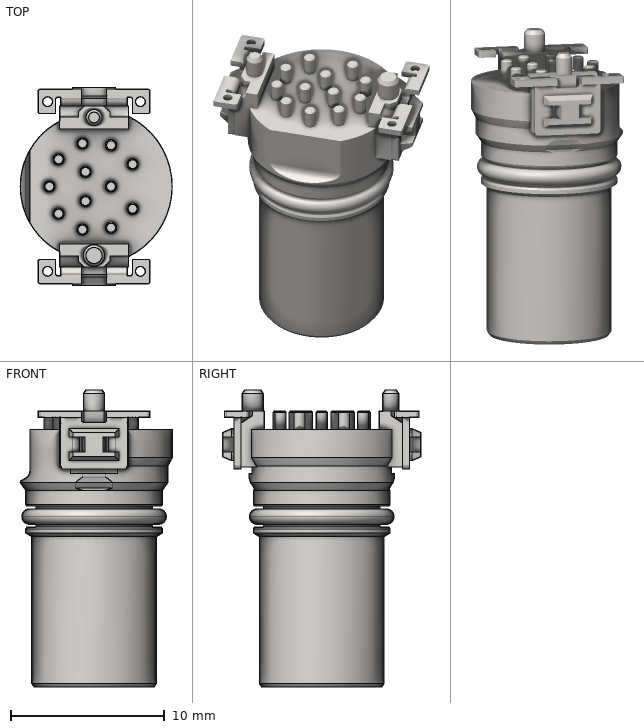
import cadquery as cq
import math

BARREL_R = 4.06
BARREL_CHAMFER_R = 0.17
BARREL_CHAMFER_H = 0.25
LIP_R = 4.45
LIP_BOTTOM = 9.8
LIP_TAPER_H = 0.25
LIP_TOP = 10.41
LIP_BEVEL_R = 0.05
LIP_BEVEL_H = 0.12
GROOVE_R = 3.8
COLLAR_BOTTOM = 11.78
CONE_BOTTOM = 12.81
CONE_TOP = 13.31
HEAD_R = 4.8
HEAD_TOP = 16.78

RING_TUBE_R = 0.5
RING_OUTER_R = 4.7
RING_Z = (LIP_TOP + COLLAR_BOTTOM) / 2

LOBE_R = 5.09
LOBE_BOTTOM = 14.94
LOBE_TAPER_H = 0.56

FLAT_X = 4.18
FLAT_BOTTOM = 14.07
RUNOUT_R = 0.55
RUNOUT_ANGLE = 60.5

RELIEF_Y = 4.55
RELIEF_BOTTOM = 13.9
SLOPE_TOP_Y = 4.75
SLOPE_TOP = 13.66
SLOPE_KNEE_Y = 4.65
SLOPE_BOTTOM_Y = 4.4
SLOPE_BOTTOM = 12.96

DECK_TOP = 17.95
PIN_R = 0.37
PIN_CHAMFER = 0.08
PIN_ROOT = 0.2
INNER_PIN_CIRCLE_R = 1.1
INNER_PIN_ANGLES = (0, 120, 240)
OUTER_PIN_CIRCLE_R = 2.9
OUTER_PIN_STEP = 37.5
OUTER_PIN_COUNT = 9

BLOCK_HALF_W = 2.25
BLOCK_INNER_Y = 3.73
BLOCK_OUTER_Y = 5.25
BLOCK_BOTTOM = 14.32
SHOULDER_Y = 4.5
SHOULDER_TOP = 17.67
SHOULDER_END = 17.2
SHOULDER_FILLET = 0.15
PAD_HALF_W = 1.03
PAD_CHAMFER = 0.39

POST_Y = 4.49
POST_TOP = 19.35
POST_CHAMFER_H = 0.25
POST_CHAMFER_R = 0.17
FRONT_POST_R = 0.7
REAR_POST_R = 0.52

SHEET = 0.4
WALL_HALF_W = 2.17
WALL_OUTER_Y = 5.7
WALL_BOTTOM = 14.18
WALL_CORNER = 0.21
BEND_R = 0.45
WING_HALF_W = 3.64
WING_OUTER_Y = 6.33
EAR_HALF_W = 2.5
EAR_INNER_Y = 4.75
EAR_CORNER = 0.14
SLOT_END_Y = 5.8
GAP_HALF_W = 0.81
GAP_BOTTOM = 17.22
GAP_CORNER = 0.17
HOLE_R = 0.3
HOLE_X = 3.02
HOLE_Y = 5.51

LATCH_HALF_W = 1.63
LATCH_BOTTOM = 14.75
LATCH_TOP = 16.82
LATCH_BASE_Y = 5.88
LATCH_SPAN_Y = 12.9
LATCH_FACE_Y = LATCH_SPAN_Y / 2
LATCH_TAPER = 0.25
NOTCH_BOTTOM = 15.3
NOTCH_TOP = 16.27
WEB_FACE_HALF_W = 0.58
WEB_ROOT_HALF_W = 0.77
ROLL_INNER_X = 0.93
ROLL_R = 0.46


def box(x0, x1, y0, y1, z0, z1):
    return cq.Workplane("XY").box(x1 - x0, y1 - y0, z1 - z0, centered=False).translate((x0, y0, z0))


def prism_along_x(points, half_width):
    """Extrude a (y, z) outline symmetrically about X = 0."""
    return cq.Workplane("YZ").polyline(points).close().extrude(half_width, both=True)


def pin(radius, bottom, top, chamfer_r, chamfer_h):
    """Upright round pin with a chamfered tip, standing on the Z axis."""
    outline = [
        (0, bottom),
        (radius, bottom),
        (radius, top - chamfer_h),
        (radius - chamfer_r, top),
        (0, top),
    ]
    return revolve(outline)


def revolve(outline):
    """Turn an (r, z) outline about the Z axis."""
    return cq.Workplane("XZ").polyline(outline).close().revolve(360, (0, 0), (0, 1))


def make_barrel():
    outline = [
        (0, 0),
        (BARREL_R - BARREL_CHAMFER_R, 0),
        (BARREL_R, BARREL_CHAMFER_H),
        (BARREL_R, LIP_BOTTOM),
        (LIP_R, LIP_BOTTOM + LIP_TAPER_H),
        (LIP_R, LIP_TOP - LIP_BEVEL_H),
        (LIP_R - LIP_BEVEL_R, LIP_TOP),
        (GROOVE_R, LIP_TOP),
        (GROOVE_R, COLLAR_BOTTOM),
        (LIP_R - LIP_BEVEL_R, COLLAR_BOTTOM),
        (LIP_R, COLLAR_BOTTOM + LIP_BEVEL_H),
        (LIP_R, CONE_BOTTOM),
        (HEAD_R, CONE_TOP),
        (HEAD_R, HEAD_TOP),
        (0, HEAD_TOP),
    ]
    return revolve(outline)


def make_ring():
    center_r = RING_OUTER_R - RING_TUBE_R
    profile = cq.Workplane("XZ").center(center_r, RING_Z).circle(RING_TUBE_R)
    return profile.revolve(360, (-center_r, 0), (-center_r, 1))


def make_lobe():
    outline = [
        (0, LOBE_BOTTOM - LOBE_TAPER_H),
        (HEAD_R, LOBE_BOTTOM - LOBE_TAPER_H),
        (LOBE_R, LOBE_BOTTOM),
        (LOBE_R, HEAD_TOP),
        (0, HEAD_TOP),
    ]
    return revolve(outline).intersect(box(0, LOBE_R, -LOBE_R, LOBE_R, 0, HEAD_TOP))


def make_flat_cutter():
    """Flat side wall that curves outward and runs out along a slope at its foot."""
    def on_curve(angle):
        turn = math.radians(angle)
        x = -FLAT_X - RUNOUT_R * (1 - math.cos(turn))
        z = FLAT_BOTTOM - RUNOUT_R * math.sin(turn)
        return x, z

    curve_end = on_curve(RUNOUT_ANGLE)
    outside_x = -LOBE_R
    slope = 1 / math.tan(math.radians(RUNOUT_ANGLE))
    outside_z = curve_end[1] - (curve_end[0] - outside_x) * slope
    outline = (
        cq.Workplane("XZ")
        .moveTo(-FLAT_X, HEAD_TOP)
        .lineTo(-FLAT_X, FLAT_BOTTOM)
        .threePointArc(on_curve(RUNOUT_ANGLE / 2), curve_end)
        .lineTo(outside_x, outside_z)
        .lineTo(outside_x, HEAD_TOP)
        .close()
    )
    return outline.extrude(HEAD_R, both=True)


def make_relief_cutter():
    outline = [
        (-RELIEF_Y, BLOCK_BOTTOM),
        (-RELIEF_Y, RELIEF_BOTTOM),
        (-SLOPE_TOP_Y, RELIEF_BOTTOM),
        (-SLOPE_TOP_Y, SLOPE_TOP),
        (-SLOPE_KNEE_Y, CONE_TOP),
        (-SLOPE_BOTTOM_Y, SLOPE_BOTTOM),
        (-SLOPE_BOTTOM_Y, CONE_BOTTOM),
        (-LOBE_R, CONE_BOTTOM),
        (-LOBE_R, BLOCK_BOTTOM),
    ]
    return prism_along_x(outline, BLOCK_HALF_W)


def make_contacts():
    one_pin = pin(PIN_R, HEAD_TOP - PIN_ROOT, DECK_TOP, PIN_CHAMFER, PIN_CHAMFER)
    places = [(INNER_PIN_CIRCLE_R, angle) for angle in INNER_PIN_ANGLES]
    first = -(OUTER_PIN_COUNT // 2)
    for index in range(first, first + OUTER_PIN_COUNT):
        places.append((OUTER_PIN_CIRCLE_R, 180 + index * OUTER_PIN_STEP))
    contacts = cq.Workplane("XY")
    for circle_r, angle in places:
        turn = math.radians(angle)
        spot = (circle_r * math.cos(turn), circle_r * math.sin(turn), 0)
        contacts = contacts.add(one_pin.translate(spot))
    return contacts.combine()


def make_block():
    outline = [
        (-BLOCK_INNER_Y, BLOCK_BOTTOM),
        (-BLOCK_INNER_Y, DECK_TOP),
        (-SHOULDER_Y, DECK_TOP),
        (-SHOULDER_Y, SHOULDER_TOP),
        (-BLOCK_OUTER_Y, SHOULDER_END),
        (-BLOCK_OUTER_Y, BLOCK_BOTTOM),
    ]
    step_foot = cq.selectors.NearestToPointSelector((0, -SHOULDER_Y, SHOULDER_TOP))
    block = prism_along_x(outline, BLOCK_HALF_W).edges(step_foot).fillet(SHOULDER_FILLET)
    pad_end = PAD_HALF_W - PAD_CHAMFER
    chamfer_start = BLOCK_OUTER_Y - PAD_CHAMFER
    pad_outline = [
        (-PAD_HALF_W, -BLOCK_INNER_Y),
        (-PAD_HALF_W, -chamfer_start),
        (-pad_end, -BLOCK_OUTER_Y),
        (pad_end, -BLOCK_OUTER_Y),
        (PAD_HALF_W, -chamfer_start),
        (PAD_HALF_W, -BLOCK_INNER_Y),
    ]
    pad = (
        cq.Workplane("XY", origin=(0, 0, BLOCK_BOTTOM))
        .polyline(pad_outline)
        .close()
        .extrude(DECK_TOP - BLOCK_BOTTOM)
    )
    return block.union(pad)


def make_clip():
    wall = box(-WALL_HALF_W, WALL_HALF_W, -WALL_OUTER_Y, -BLOCK_OUTER_Y, WALL_BOTTOM, DECK_TOP)
    wall = wall.edges("|Y and <Z").fillet(WALL_CORNER)

    wings = box(-WING_HALF_W, WING_HALF_W, -WING_OUTER_Y, -EAR_INNER_Y, DECK_TOP - SHEET, DECK_TOP)
    bay = box(-EAR_HALF_W, EAR_HALF_W, -SLOT_END_Y, 0, 0, DECK_TOP)
    wings = wings.cut(bay.edges("|Z and <Y").fillet(EAR_CORNER))
    wings = wings.edges("|Z").edges("<X or >X").fillet(EAR_CORNER)

    bridge = box(-WALL_HALF_W, WALL_HALF_W, -WING_OUTER_Y, -BLOCK_OUTER_Y, DECK_TOP - SHEET, DECK_TOP)

    clip = wall.union(bridge).union(wings).clean()
    bend_edge = cq.selectors.NearestToPointSelector((0, -BLOCK_OUTER_Y, DECK_TOP))
    clip = clip.edges(bend_edge).fillet(BEND_R)

    gap = box(-GAP_HALF_W, GAP_HALF_W, -WING_OUTER_Y, -BLOCK_OUTER_Y, GAP_BOTTOM, DECK_TOP)
    clip = clip.cut(gap.edges("|Y and <Z").fillet(GAP_CORNER))

    holes = (
        cq.Workplane("XY", origin=(0, 0, DECK_TOP - SHEET))
        .pushPoints([(-HOLE_X, -HOLE_Y), (HOLE_X, -HOLE_Y)])
        .circle(HOLE_R)
        .extrude(SHEET)
    )
    return clip.cut(holes)


def make_latch():
    height = LATCH_TOP - LATCH_BOTTOM
    middle_z = (LATCH_TOP + LATCH_BOTTOM) / 2
    base = box(-LATCH_HALF_W, LATCH_HALF_W, -LATCH_BASE_Y, -WALL_OUTER_Y, LATCH_BOTTOM, LATCH_TOP)
    nose = (
        cq.Workplane("XZ", origin=(0, -LATCH_BASE_Y, middle_z))
        .rect(2 * LATCH_HALF_W, height)
        .workplane(offset=LATCH_FACE_Y - LATCH_BASE_Y)
        .rect(2 * (LATCH_HALF_W - LATCH_TAPER), height - 2 * LATCH_TAPER)
        .loft(ruled=True)
    )
    return base.union(nose)


def make_notch_cutter(side):
    """Side notch of the latch; its floor is the rolled edge of the clip wall."""
    roll_middle = ROLL_R * math.sin(math.radians(45))
    roll_outer_x = ROLL_INNER_X + ROLL_R
    root_y = WALL_OUTER_Y - ROLL_R
    return (
        cq.Workplane("XY", origin=(0, 0, NOTCH_BOTTOM))
        .moveTo(side * WEB_FACE_HALF_W, -LATCH_FACE_Y)
        .lineTo(side * WEB_ROOT_HALF_W, -root_y)
        .lineTo(side * ROLL_INNER_X, -root_y)
        .threePointArc(
            (side * (roll_outer_x - roll_middle), -root_y - roll_middle),
            (side * roll_outer_x, -WALL_OUTER_Y),
        )
        .lineTo(side * LATCH_HALF_W, -WALL_OUTER_Y)
        .lineTo(side * LATCH_HALF_W, -LATCH_FACE_Y)
        .close()
        .extrude(NOTCH_TOP - NOTCH_BOTTOM)
    )


def make_side():
    side = make_block().union(make_clip()).union(make_latch())
    for direction in (-1, 1):
        side = side.cut(make_notch_cutter(direction))
    return side


def make_post(radius, y):
    return pin(radius, HEAD_TOP, POST_TOP, POST_CHAMFER_R, POST_CHAMFER_H).translate((0, y, 0))


relief = make_relief_cutter()
side_parts = make_side()

body = make_barrel().union(make_ring()).cut(make_flat_cutter())
body = body.cut(relief).cut(relief.mirror("XZ"))
body = body.union(make_lobe()).union(make_contacts())
body = body.union(side_parts).union(side_parts.mirror("XZ"))
result = body.union(make_post(FRONT_POST_R, -POST_Y)).union(make_post(REAR_POST_R, POST_Y))